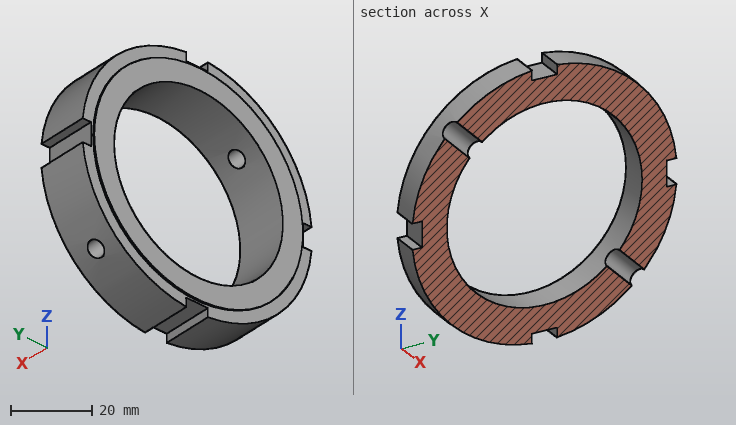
import cadquery as cq
import math

slot_span = 74.7
width = 16.0
bore_diameter = 55.0

face_diameter = 68.0
face_height = 0.5

slot_count = 4
slot_width = 7.0
slot_floor_radius = 34.65

hole_diameter = 4.9
hole_angles = (135, 315)

outer_radius = math.hypot(slot_span / 2, slot_width / 2)


def make_ring():
    body = cq.Workplane("YZ").workplane(offset=face_height).circle(outer_radius).extrude(width - face_height)
    face = cq.Workplane("YZ").circle(face_diameter / 2).extrude(face_height)
    bore = cq.Workplane("YZ").circle(bore_diameter / 2).extrude(width)
    return body.union(face).cut(bore)


def make_slot(angle):
    slot = cq.Workplane("XY").box(width, outer_radius, slot_width, centered=(False, False, True))
    slot = slot.translate((0, slot_floor_radius, 0))
    return slot.rotate((0, 0, 0), (1, 0, 0), angle)


def make_screw_hole(angle):
    axis = cq.Vector(0, math.cos(math.radians(angle)), math.sin(math.radians(angle)))
    start = cq.Vector(width / 2, 0, 0)
    return cq.Solid.makeCylinder(hole_diameter / 2, 2 * outer_radius, start, axis)


result = make_ring()
for slot_index in range(slot_count):
    result = result.cut(make_slot(slot_index * 360 / slot_count))
for hole_angle in hole_angles:
    result = result.cut(make_screw_hole(hole_angle))